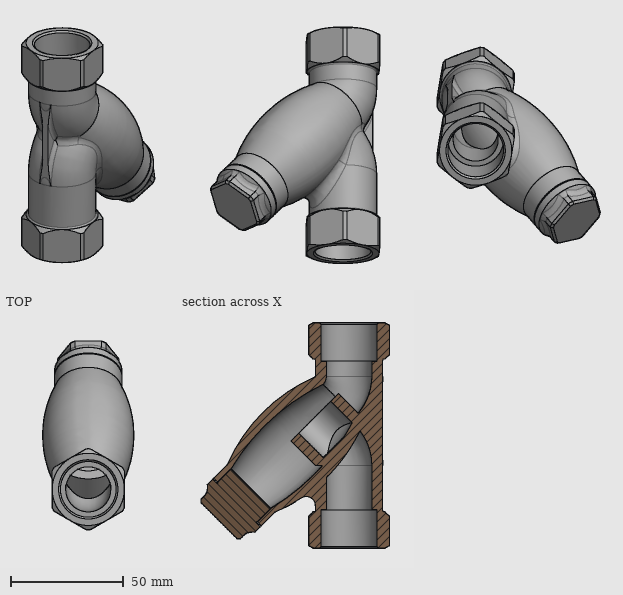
import cadquery as cq
import math

LENGTH = 100.0
PIPE_R = 15.0
BORE_R = 10.0
THREAD_R = 24.7 / 2
THREAD_DEPTH = 17.0
MOUTH_CHAMFER = 0.8

NUT_FLATS = 32.0
NUT_CORNER_R = 18.0
NUT_FACE_R = 16.0
NUT_HEIGHT = 16.2
NUT_FILLET = 0.6
OUTER_CHAMFER_ANGLE = 30.0
INNER_CHAMFER_ANGLE = 45.0

BEND_R = 15.1
BEND_ANGLE = 45.0
MID_Z = 6.4
BEND_OFFSET = 19.8
UPPER_BEND_Z = MID_Z + BEND_OFFSET
LOWER_BEND_Z = MID_Z - BEND_OFFSET
UP = 1
DOWN = -1
STUB_LENGTH = 15.3
BLEND_ANGLE = 75.0
CROTCH_FILLET = 4.0

HALF_TURN = math.cos(math.radians(BEND_ANGLE))
BULGE_START = BEND_R * math.tan(math.radians(BEND_ANGLE / 2))
AXIS_Z = UPPER_BEND_Z - BULGE_START
NECK_START = 61.5
NECK_END = 70.0
BULGE_MIDDLE = (BULGE_START + NECK_START) / 2
BULGE_R = 40.5 / 2
BULGE_WALL = 5.0
BRANCH_AXIS = (0, 1, -1)
BRANCH_RADIAL = (0, 1, 1)

CAP_GAP = 0.5
COLLAR_START = NECK_END + CAP_GAP
COLLAR_END = 74.0
HEAD_END = 81.6
HEAD_FLATS = 24.8
HEAD_CORNER_R = 13.7
HEAD_CHAMFER = 1.0
HEAD_FILLET = 3.8
SHOULDER_TOP_R = 12.0
SHOULDER_END = COLLAR_END + PIPE_R - SHOULDER_TOP_R

RIB_THICKNESS = 3.0
RIB_FILLET = 2.0
RIB_BACK_Y = -14.8
RIB_ROOT_Y = -12.0
RIB_REACH_Y = -25.0


def hexagon_diameter(flats):
    """Diameter across the corners of a hexagon, from its width across flats."""
    return flats / math.cos(math.pi / 6)


def cylinder(radius, bottom, top):
    return cq.Workplane(origin=(0, 0, bottom)).circle(radius).extrude(top - bottom)


def elbow(radius, bend_z, direction, turn=BEND_ANGLE):
    """Round bar that leaves the Z axis at bend_z, going UP or DOWN, and turns towards +Y."""
    return (
        cq.Workplane(origin=(0, 0, bend_z))
        .circle(radius)
        .revolve(turn, (0, BEND_R, 0), (-direction, BEND_R, 0))
    )


def upper_half(radius):
    """Solid bar from the top end of the run to the end of the upper elbow."""
    return cylinder(radius, UPPER_BEND_Z, LENGTH / 2).union(elbow(radius, UPPER_BEND_Z, DOWN))


def lower_half(radius, turn=BEND_ANGLE):
    """Solid bar from the bottom end of the run to the end of the lower elbow."""
    return cylinder(radius, -LENGTH / 2, LOWER_BEND_Z).union(elbow(radius, LOWER_BEND_Z, UP, turn))


def lower_stub(radius):
    """Straight bar that carries on from the end of the lower elbow."""
    start_y = BEND_R * (1 - HALF_TURN)
    start_z = LOWER_BEND_Z + BEND_R * HALF_TURN
    plane = cq.Plane(origin=(0, start_y, start_z), xDir=(1, 0, 0), normal=BRANCH_RADIAL)
    return cq.Workplane(plane).circle(radius).extrude(STUB_LENGTH)


def branch_section():
    """Workplane through the branch axis: local x is the radius, local y the station."""
    return cq.Workplane(cq.Plane(origin=(0, 0, AXIS_Z), xDir=BRANCH_RADIAL, normal=(-1, 0, 0)))


def branch_plane(station):
    """Workplane square to the branch axis at a station."""
    origin = (0, station * HALF_TURN, AXIS_Z - station * HALF_TURN)
    return cq.Workplane(cq.Plane(origin=origin, xDir=BRANCH_RADIAL, normal=BRANCH_AXIS))


def barrel(start_r, middle_r, neck_r):
    """Barrel about the branch axis, followed by a straight neck."""
    return (
        branch_section()
        .moveTo(0, BULGE_START)
        .lineTo(start_r, BULGE_START)
        .threePointArc((middle_r, BULGE_MIDDLE), (neck_r, NECK_START))
        .lineTo(neck_r, NECK_END)
        .lineTo(0, NECK_END)
        .close()
        .revolve(360, (0, 0, 0), (0, 1, 0))
    )


def outer_shell():
    """Filled run and branch, rounded where the lower half meets the rest."""
    upper = upper_half(PIPE_R).union(barrel(PIPE_R, BULGE_R, PIPE_R))
    shell = upper.union(lower_half(PIPE_R, BLEND_ANGLE))
    return shell.edges("%BSPLINE").fillet(CROTCH_FILLET)


def rib_half(bend_z, direction):
    """Rib along one elbow; its concave flanks run out tangent to the pipe."""
    half = RIB_THICKNESS / 2
    center_r = PIPE_R + RIB_FILLET
    flank_x = half + RIB_FILLET
    flank_y = -math.sqrt(center_r**2 - flank_x**2)
    foot_x = flank_x * PIPE_R / center_r
    foot_y = flank_y * PIPE_R / center_r
    return (
        cq.Workplane(origin=(0, 0, bend_z))
        .moveTo(-foot_x, RIB_ROOT_Y)
        .lineTo(-foot_x, foot_y)
        .radiusArc((-half, flank_y), RIB_FILLET)
        .lineTo(-half, RIB_REACH_Y)
        .lineTo(half, RIB_REACH_Y)
        .lineTo(half, flank_y)
        .radiusArc((foot_x, foot_y), RIB_FILLET)
        .lineTo(foot_x, RIB_ROOT_Y)
        .close()
        .revolve(BEND_ANGLE, (0, BEND_R, 0), (-direction, BEND_R, 0))
    )


def rib():
    """Both halves of the rib, cut to a flat back."""
    behind_back = cq.Workplane().box(LENGTH, LENGTH, LENGTH).translate((0, RIB_BACK_Y - LENGTH / 2, 0))
    return rib_half(UPPER_BEND_Z, DOWN).union(rib_half(LOWER_BEND_Z, UP)).cut(behind_back)


def nut():
    """Chamfered nut with its outer face on z = 0 and a small fillet onto the pipe above it."""
    depth = NUT_CORNER_R - NUT_FACE_R
    outer_rise = depth * math.tan(math.radians(OUTER_CHAMFER_ANGLE))
    inner_rise = depth * math.tan(math.radians(INNER_CHAMFER_ANGLE))
    envelope = (
        cq.Workplane("XZ")
        .lineTo(NUT_FACE_R, 0)
        .lineTo(NUT_CORNER_R, outer_rise)
        .lineTo(NUT_CORNER_R, NUT_HEIGHT - inner_rise)
        .lineTo(NUT_FACE_R, NUT_HEIGHT)
        .lineTo(0, NUT_HEIGHT)
        .close()
        .revolve()
    )
    prism = (
        cq.Workplane()
        .transformed(rotate=(0, 0, 90))
        .polygon(6, hexagon_diameter(NUT_FLATS))
        .extrude(NUT_HEIGHT)
    )
    fillet = (
        cq.Workplane("XZ", origin=(0, 0, NUT_HEIGHT))
        .lineTo(PIPE_R + NUT_FILLET, 0)
        .radiusArc((PIPE_R, NUT_FILLET), NUT_FILLET)
        .lineTo(0, NUT_FILLET)
        .close()
        .revolve()
    )
    return prism.intersect(envelope).union(fillet)


def threaded_mouth():
    """Threaded bore with a chamfered mouth, entered from z = 0."""
    return (
        cq.Workplane("XZ")
        .lineTo(THREAD_R + MOUTH_CHAMFER, 0)
        .lineTo(THREAD_R, MOUTH_CHAMFER)
        .lineTo(THREAD_R, THREAD_DEPTH)
        .lineTo(0, THREAD_DEPTH)
        .close()
        .revolve()
    )


def at_both_ends(feature):
    """A feature that starts on z = 0, placed at the bottom end and mirrored to the top end."""
    bottom = feature.translate((0, 0, -LENGTH / 2))
    return bottom.union(bottom.mirror("XY"))


def make_housing():
    bulge = barrel(PIPE_R, BULGE_R, PIPE_R)
    cavity = barrel(BORE_R, BULGE_R - BULGE_WALL, THREAD_R)
    housing = outer_shell().union(rib()).union(at_both_ends(nut()))
    housing = housing.cut(cavity).cut(upper_half(BORE_R))

    inside = bulge.union(elbow(PIPE_R, UPPER_BEND_Z, DOWN))
    tube = elbow(PIPE_R, LOWER_BEND_Z, UP).union(lower_stub(PIPE_R)).intersect(inside)
    housing = housing.union(tube).cut(lower_stub(BORE_R).intersect(cavity))

    housing = housing.cut(lower_half(BORE_R).cut(bulge))
    return housing.cut(at_both_ends(threaded_mouth()))


def make_cap():
    body = (
        branch_section()
        .moveTo(0, NECK_START)
        .lineTo(THREAD_R, NECK_START)
        .lineTo(THREAD_R, COLLAR_START)
        .lineTo(PIPE_R, COLLAR_START)
        .lineTo(PIPE_R, COLLAR_END)
        .lineTo(SHOULDER_TOP_R, SHOULDER_END)
        .lineTo(0, SHOULDER_END)
        .close()
        .revolve(360, (0, 0, 0), (0, 1, 0))
    )
    head_height = HEAD_END - COLLAR_END
    corner_limit = branch_plane(COLLAR_END).circle(HEAD_CORNER_R).extrude(head_height)
    head = (
        branch_plane(COLLAR_END)
        .transformed(rotate=(0, 0, 90))
        .polygon(6, hexagon_diameter(HEAD_FLATS))
        .extrude(head_height)
        .intersect(corner_limit)
        .faces(cq.selectors.DirectionMinMaxSelector(cq.Vector(*BRANCH_AXIS)))
        .chamfer(HEAD_CHAMFER)
    )
    return body.union(head).edges("%HYPERBOLA or %BSPLINE").fillet(HEAD_FILLET)


housing = make_housing().solids()
cap = make_cap().solids()

result = cq.Compound.makeCompound([housing.val(), cap.val()])